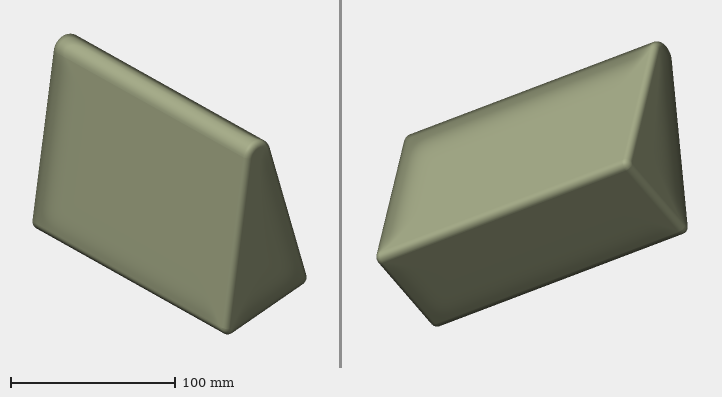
import cadquery as cq
import math

length = 190.0
depth = 65.2
height = 125.0

crest_radius = 10.0
corner_radius = 5.0
end_fillet_radius = 4.0

crest_y = -5.9
rear_corner_z = 20.7

front_corner = (-depth / 2 + corner_radius, corner_radius, corner_radius)
rear_corner = (depth / 2 - corner_radius, rear_corner_z, corner_radius)
crest = (crest_y, height - crest_radius, crest_radius)
corners = [front_corner, rear_corner, crest]


def point_on_corner(corner, angle):
    """Point of a corner circle in the direction of the given angle."""
    y, z, radius = corner
    return (y + radius * math.cos(angle), z + radius * math.sin(angle))


def outward_normal_angle(start, end):
    """Direction of the outward normal of the flat face tangent to two corners."""
    dy = end[0] - start[0]
    dz = end[1] - start[1]
    lean = math.acos((start[2] - end[2]) / math.hypot(dy, dz))
    return math.atan2(dz, dy) - lean


def side_profile():
    """Closed outline of three flat faces joined by tangent arcs."""
    count = len(corners)
    normals = [outward_normal_angle(corners[i], corners[(i + 1) % count]) for i in range(count)]
    outline = cq.Workplane("YZ").moveTo(*point_on_corner(corners[0], normals[0]))
    for i in range(count):
        corner = corners[(i + 1) % count]
        arc_start = normals[i]
        arc_sweep = (normals[(i + 1) % count] - arc_start) % (2 * math.pi)
        arc_middle = point_on_corner(corner, arc_start + arc_sweep / 2)
        arc_end = point_on_corner(corner, arc_start + arc_sweep)
        outline = outline.lineTo(*point_on_corner(corner, arc_start))
        outline = outline.threePointArc(arc_middle, arc_end)
    return outline.close()


block = side_profile().extrude(length / 2, both=True)
result = block.faces("<X or >X").edges().fillet(end_fillet_radius)